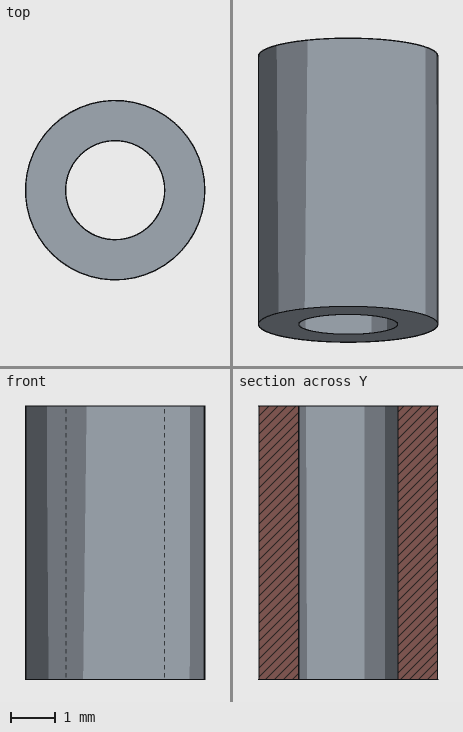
import cadquery as cq

length = 6.1
outer_diameter = 4.0
bore_diameter = 2.2

result = (
    cq.Workplane("XY")
    .circle(outer_diameter / 2)
    .circle(bore_diameter / 2)
    .extrude(length)
)